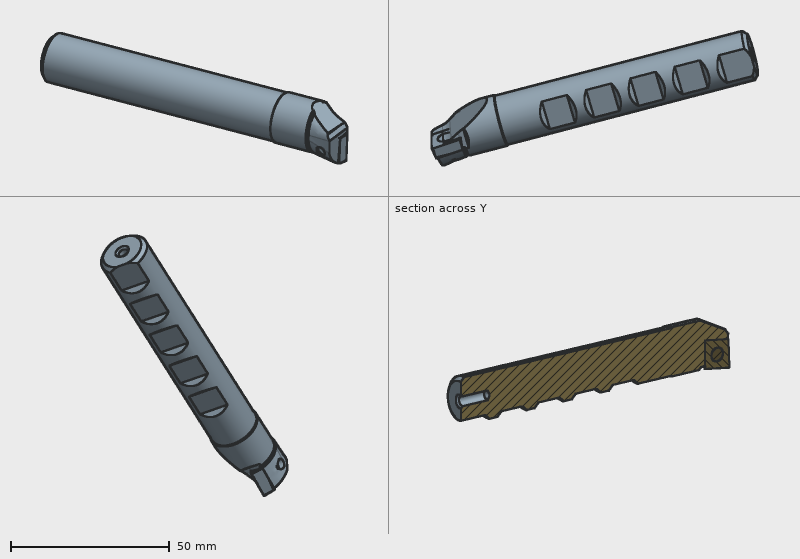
import cadquery as cq
import math


overall_length = 105.0
shank_diameter = 16.1
shank_radius = shank_diameter / 2
head_radius = 8.3
neck_radius = shank_radius
head_start = 82.1
head_end = 95.0
nose_start = 95.8
shank_chamfer = 1.4
head_chamfer = head_radius - neck_radius

flat_depth = 1.6
flat_pitch = 14.5
flat_count = 5
first_flat_end = 9.7
ridge_base = 6.3

coolant_radius = 1.6
coolant_depth = 10.5
coolant_mouth_radius = 2.3
drill_point_angle = 120.0
drill_point = coolant_radius / math.tan(math.radians(drill_point_angle / 2))

notch_start = 93.0
notch_depth = 0.8

nose_end = 106.0
flat_top = 1.5
flat_lean = 0.2
nose_inner_y = 4.5
rear_side_y, rear_flat_bottom = -8.4, -0.1
rear_shoulder_radius = 6.0
rear_belly, rear_heel = (-6.7, -4.8), (-3.7, -7.5)
front_side_y, front_flat_bottom = -8.9, -3.7
front_shoulder_radius = 2.1
front_belly, front_heel = (-6.9, -7.0), (-3.9, -9.2)

slope_x, slope_z = 95.9, 7.0
slope_angle = 27.0
bevel_start_x, bevel_start_z = 103.3, 3.3
bevel_end_z = 1.6
end_x = 104.5
end_relief = 6.5

flute_angle = 25.0
flute_floor_x = 99.6
flute_fillet = 6.3

insert_bottom = -9.9
insert_tilt = 7.5
insert_lead = 1.5
insert_angle = 80.0
insert_inscribed = 9.6
insert_thickness = 4.0
insert_relief = 7.0
insert_corner_radius = 0.4

screw_radius = 1.6
screw_head_radius = 2.7
screw_head_depth = 1.9
screw_length = 7.6
screw_bore_length = 12.6

big = 42.0


def polar(length, degrees):
    angle = math.radians(degrees)
    return (length * math.cos(angle), length * math.sin(angle))


tilt_sin = math.sin(math.radians(insert_tilt))
tilt_cos = math.cos(math.radians(insert_tilt))

insert_edge = insert_inscribed / math.sin(math.radians(insert_angle))
end_edge_angle = 90 + insert_lead
side_edge_angle = end_edge_angle + insert_angle
end_corner = polar(insert_edge, end_edge_angle)
side_corner = polar(insert_edge, side_edge_angle)
far_corner = (end_corner[0] + side_corner[0], end_corner[1] + side_corner[1])
insert_centre = (far_corner[0] / 2, far_corner[1] / 2)

corner_x, corner_y = polar(insert_corner_radius / math.sin(math.radians(insert_angle / 2)),
                           end_edge_angle + insert_angle / 2)
tip_x = overall_length - (corner_x + insert_corner_radius)
tip_z = insert_bottom - (corner_y - insert_corner_radius) * tilt_cos
tip = (tip_x, 0, tip_z)

rake_plane = cq.Plane(origin=tip, xDir=(1, 0, 0), normal=(0, -tilt_cos, tilt_sin))
flute_plane = cq.Plane(origin=tip, xDir=(1, 0, 0), normal=(0, tilt_sin, tilt_cos))


def make_insert_blank():
    """Rhombic plate that narrows away from its rake face."""
    outline = cq.Sketch().polygon([(0, 0), end_corner, far_corner, side_corner, (0, 0)])
    outline = outline.vertices().fillet(insert_corner_radius)
    return cq.Workplane(rake_plane).placeSketch(outline).extrude(insert_thickness, taper=insert_relief)


def make_screw(length):
    """Countersunk screw shape, its head flush with the rake face."""
    centre = rake_plane.toWorldCoords(insert_centre)
    screw_plane = cq.Plane(origin=centre, xDir=(1, 0, 0), normal=flute_plane.zDir)
    profile = [(0, 0), (screw_head_radius, 0), (screw_radius, -screw_head_depth),
               (screw_radius, -length), (0, -length)]
    return cq.Workplane(screw_plane).polyline(profile).close().revolve(360, (0, 0), (0, 1))


def make_bar():
    """Round shank, head and neck with the coolant hole in the rear face."""
    profile = [
        (0, coolant_mouth_radius),
        (0, shank_radius - shank_chamfer),
        (shank_chamfer, shank_radius),
        (head_start, shank_radius),
        (head_start + head_chamfer, head_radius),
        (head_end - head_chamfer, head_radius),
        (head_end, neck_radius),
        (nose_start, neck_radius),
        (nose_start, 0),
        (coolant_depth + drill_point, 0),
        (coolant_depth, coolant_radius),
        (coolant_mouth_radius - coolant_radius, coolant_radius),
    ]
    return cq.Workplane("XY").polyline(profile).close().revolve(360, (0, 0, 0), (1, 0, 0))


def cut_clamping_flats(bar):
    """Flats with 45 degree ends, leaving a row of ridges."""
    flat_z = -shank_radius + flat_depth
    depth = 2 * flat_depth
    for index in range(flat_count):
        end = first_flat_end + index * flat_pitch
        start = end - flat_pitch + ridge_base
        start_slope = depth
        if index == 0:
            start = 0
            start_slope = 0
        outline = [(start, flat_z), (end, flat_z),
                   (end + depth, flat_z - depth), (start - start_slope, flat_z - depth)]
        cutter = cq.Workplane("XZ").polyline(outline).close().extrude(big, both=True)
        bar = bar.cut(cutter)
    return bar


def cut_head_notch(bar):
    """Relief below the head, just behind the insert."""
    notch_z = -head_radius + notch_depth
    outline = [(notch_start, -head_radius), (notch_start + notch_depth, notch_z),
               (nose_start, notch_z), (nose_start, -head_radius)]
    return bar.cut(cq.Workplane("XZ").polyline(outline).close().extrude(big, both=True))


def nose_section(plane_x, side_y, shoulder_radius, flat_bottom, belly, heel):
    """Cross-section of the nose: rounded shoulder, upright flat, curved belly."""
    bend = shoulder_radius * math.sqrt(0.5)
    flat_top_y = side_y + flat_lean
    shoulder_y = flat_top_y + shoulder_radius
    top_z = flat_top + shoulder_radius
    section = cq.Workplane("YZ", origin=(plane_x, 0, 0)).moveTo(nose_inner_y, top_z)
    section = section.lineTo(shoulder_y, top_z)
    section = section.threePointArc((shoulder_y - bend, flat_top + bend), (flat_top_y, flat_top))
    section = section.lineTo(side_y, flat_bottom).threePointArc(belly, heel)
    return section.lineTo(nose_inner_y, heel[1]).close().wires().val()


def make_nose():
    """Nose blank, tapering at the shoulder and dropping towards the tip."""
    rear = nose_section(nose_start, rear_side_y, rear_shoulder_radius, rear_flat_bottom,
                        rear_belly, rear_heel)
    front = nose_section(nose_end, front_side_y, front_shoulder_radius, front_flat_bottom,
                         front_belly, front_heel)
    return cq.Workplane(cq.Solid.makeLoft([rear, front], True))


def make_slope_cutter():
    """Block above the sloping top of the nose."""
    block = cq.Workplane("XY").box(2 * big, 2 * big, big, centered=(True, True, False))
    return block.rotate((0, 0, 0), (0, 1, 0), slope_angle).translate((slope_x, 0, slope_z))


def make_end_cutter():
    """Block beyond the end face and its upper bevel, yawed for relief."""
    outline = [(end_x, -big), (end_x, bevel_end_z), (bevel_start_x, bevel_start_z),
               (bevel_start_x, big), (big + end_x, big), (big + end_x, -big)]
    block = cq.Workplane("XZ").polyline(outline).close().extrude(big, both=True)
    return block.rotate((end_x, 0, 0), (end_x, 0, 1), -end_relief)


def make_flute_cutter():
    """Chip flute: a floor flush with the rake face and a sloping run-out."""
    floor_x = flute_floor_x - tip_x
    bend = flute_fillet * math.tan(math.radians(flute_angle / 2))
    run_x, run_y = polar(bend, 180 - flute_angle)
    top_x, top_y = polar(big, 180 - flute_angle)
    mid_x, mid_y = polar(flute_fillet, -90 - flute_angle / 2)
    arc_x = floor_x + bend
    cutter = cq.Workplane(flute_plane).moveTo(big, 0).lineTo(arc_x, 0)
    cutter = cutter.threePointArc((arc_x + mid_x, flute_fillet + mid_y), (floor_x + run_x, run_y))
    cutter = cutter.lineTo(floor_x + top_x, top_y).lineTo(big, top_y).close()
    return cutter.extrude(big, both=True)


screw = make_screw(screw_length)
insert_blank = make_insert_blank()
insert = insert_blank.cut(screw)

holder = cut_head_notch(cut_clamping_flats(make_bar()))
holder = holder.union(make_nose())
for cutter in (make_slope_cutter(), make_end_cutter(), make_flute_cutter()):
    holder = holder.cut(cutter)
holder = holder.cut(insert_blank).cut(make_screw(screw_bore_length))

result = cq.Compound.makeCompound([holder.solids().val(), insert.solids().val(), screw.solids().val()])